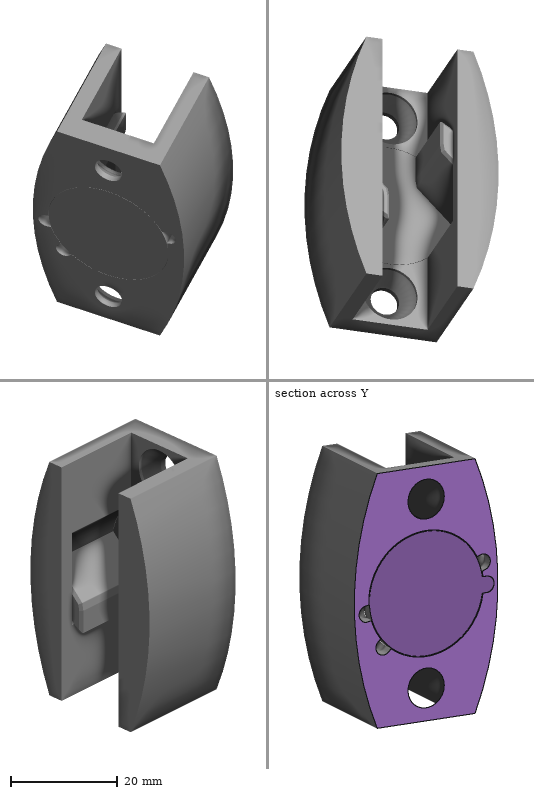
import cadquery as cq

HEIGHT = 50.0
DEPTH = 23.5
WIDTH_MIDDLE = 31.0
WIDTH_END = 21.1
CHANNEL_WIDTH = 14.75
WEB_THICKNESS = 4.5

HOLE_SPACING = 37.0
HOLE_DIAMETER = 5.6
HEAD_DIAMETER = 10.8
HOLE_STRAIGHT_DEPTH = 1.2
HEAD_CONE_DEPTH = (HEAD_DIAMETER - HOLE_DIAMETER) / 2

INSERT_DIAMETER = 24.5
INSERT_CLEARANCE = 0.05
INSERT_LENGTH = 20.6
INSERT_FLOOR = WEB_THICKNESS
INSERT_CHAMFER = 0.55
JAW_TIP_LIMIT = 10.95
BORE_DIAMETER = INSERT_DIAMETER + 2 * INSERT_CLEARANCE

KEY_WIDTH = 3.1
KEY_CENTRE_RADIUS = 13.0
KEY_DEPTH = WEB_THICKNESS

KEY_POSITIONS = [(0, 10.0), (20, 13.1), (190, 12.0), (225, 14.0)]


def front_cylinder(diameter, length):
    """Cylinder on the Y axis, from the front face inwards."""
    return cq.Workplane("XZ").circle(diameter / 2).extrude(-length)


def key_bar(angle):
    """Round-ended radial bar from the axis outwards, at the given angle."""
    bar = cq.Workplane("XZ").center(KEY_CENTRE_RADIUS / 2, 0).rect(KEY_CENTRE_RADIUS, KEY_WIDTH)
    bar = bar.extrude(-KEY_DEPTH)
    tip = front_cylinder(KEY_WIDTH, KEY_DEPTH).translate((KEY_CENTRE_RADIUS, 0, 0))
    return bar.union(tip).rotate((0, 0, 0), (0, 1, 0), -angle)


def mounting_hole(z):
    """Stepped cutter: plain hole, conical seat and head recess."""
    r_hole = HOLE_DIAMETER / 2
    r_head = HEAD_DIAMETER / 2
    y_seat_end = HOLE_STRAIGHT_DEPTH + HEAD_CONE_DEPTH
    profile = [
        (0, 0),
        (r_hole, 0),
        (r_hole, HOLE_STRAIGHT_DEPTH),
        (r_head, y_seat_end),
        (r_head, WEB_THICKNESS),
        (0, WEB_THICKNESS),
    ]
    cutter = cq.Workplane("XY").polyline(profile).close().revolve(360, (0, 0), (0, 1))
    return cutter.translate((0, 0, z))


def make_housing():
    x_end = WIDTH_END / 2
    x_middle = WIDTH_MIDDLE / 2
    z_end = HEIGHT / 2
    body = (
        cq.Workplane("XZ")
        .moveTo(-x_end, -z_end)
        .lineTo(x_end, -z_end)
        .threePointArc((x_middle, 0), (x_end, z_end))
        .lineTo(-x_end, z_end)
        .threePointArc((-x_middle, 0), (-x_end, -z_end))
        .close()
        .extrude(-DEPTH)
    )
    channel = cq.Workplane("XY").box(CHANNEL_WIDTH, DEPTH, HEIGHT, centered=(True, False, True))
    body = body.cut(channel.translate((0, WEB_THICKNESS, 0)))
    body = body.cut(front_cylinder(BORE_DIAMETER, INSERT_LENGTH))
    for angle, _ in KEY_POSITIONS:
        body = body.cut(key_bar(angle))
    for side in (-1, 1):
        body = body.cut(mounting_hole(side * HOLE_SPACING / 2))
    return body


def jaw_gap(angle, width):
    """Through slot that stands upright when the key is at the given angle; its mouth is chamfered."""
    x_side = width / 2
    x_mouth = x_side + INSERT_CHAMFER
    y_flare = INSERT_LENGTH - INSERT_CHAMFER
    profile = [
        (-x_side, INSERT_FLOOR),
        (x_side, INSERT_FLOOR),
        (x_side, y_flare),
        (x_mouth, INSERT_LENGTH),
        (-x_mouth, INSERT_LENGTH),
        (-x_side, y_flare),
    ]
    slot = cq.Workplane("XY").polyline(profile).close().extrude(INSERT_DIAMETER / 2, both=True)
    return slot.rotate((0, 0, 0), (0, 1, 0), angle)


def make_insert():
    body = front_cylinder(INSERT_DIAMETER, INSERT_LENGTH).faces(">Y").chamfer(INSERT_CHAMFER)
    for angle, width in KEY_POSITIONS:
        body = body.cut(jaw_gap(angle, width))
    blunt = cq.Workplane("XY").box(
        INSERT_DIAMETER, INSERT_LENGTH, INSERT_DIAMETER, centered=(True, False, True)
    )
    for side in (-1, 1):
        z_centre = side * (JAW_TIP_LIMIT + INSERT_DIAMETER / 2)
        body = body.cut(blunt.translate((0, INSERT_FLOOR, z_centre)))
    return body.union(key_bar(0))


housing = make_housing()
insert = make_insert()
result = cq.Compound.makeCompound([housing.val(), insert.val()])